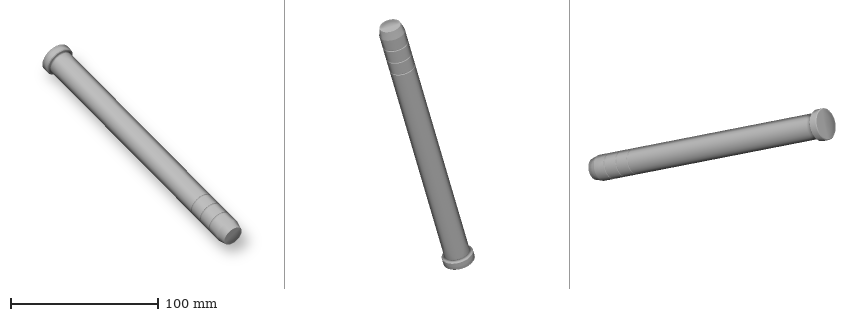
import cadquery as cq

pin_length = 200.0
body_radius = 18.0 / 2

head_radius = 22.0 / 2
head_length = 6.0
head_chamfer = 0.5

nose_length = 6.0
nose_radius_drop = 1.5

groove_radius = 0.5
groove_count = 3
groove_pitch = 10.0
last_groove_from_tip = 15.0


def make_pin_blank():
    """Head, straight body and tapered nose turned about the X axis."""
    nose_start = pin_length - nose_length
    tip_radius = body_radius - nose_radius_drop
    profile = (
        cq.Workplane("XZ")
        .lineTo(0, head_radius - head_chamfer)
        .lineTo(head_chamfer, head_radius)
        .lineTo(head_length - head_chamfer, head_radius)
        .lineTo(head_length, head_radius - head_chamfer)
        .lineTo(head_length, body_radius)
        .lineTo(nose_start, body_radius)
        .lineTo(pin_length, tip_radius)
        .lineTo(pin_length, 0)
        .close()
    )
    return profile.revolve(360, (0, 0, 0), (1, 0, 0))


def make_groove_ring(center_x):
    """Ring of round section centred on the body surface."""
    section = cq.Workplane("XZ").center(center_x, body_radius).circle(groove_radius)
    return section.revolve(360, (0, -body_radius, 0), (1, -body_radius, 0))


undercut_x = head_length + groove_radius
last_groove_x = pin_length - last_groove_from_tip
groove_centers = [undercut_x]
for index in range(groove_count):
    groove_centers.append(last_groove_x - index * groove_pitch)

result = make_pin_blank()
for groove_x in groove_centers:
    result = result.cut(make_groove_ring(groove_x))